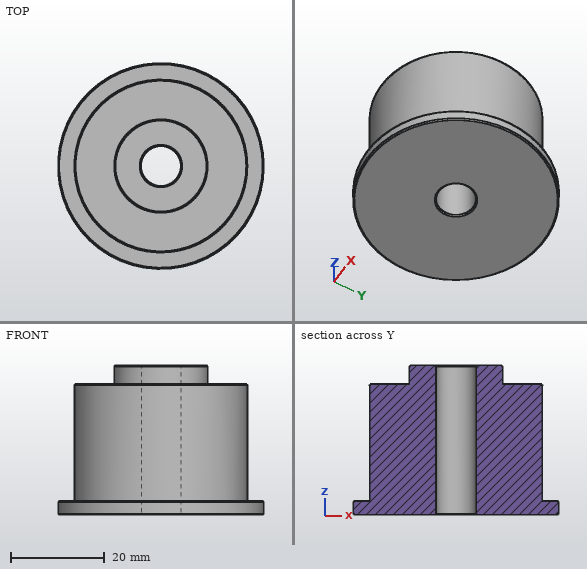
import cadquery as cq

flange_diameter = 44.0
total_height = 32.0

flange_height = 3.0
body_diameter = 37.0
boss_diameter = 20.0
boss_height = 4.0
bore_diameter = 8.5
edge_chamfer = 0.3

body_height = total_height - flange_height - boss_height


def chamfered_disc(diameter, base_z, height, edges):
    """Upright disc with its selected rims chamfered."""
    disc = cq.Workplane("XY").workplane(offset=base_z).circle(diameter / 2).extrude(height)
    return disc.edges(edges).chamfer(edge_chamfer)


flange = chamfered_disc(flange_diameter, 0, flange_height, "%CIRCLE")
body = chamfered_disc(body_diameter, flange_height, body_height, ">Z")
boss = chamfered_disc(boss_diameter, flange_height + body_height, boss_height, ">Z")

bore = cq.Workplane("XY").circle(bore_diameter / 2).extrude(total_height)
mouth_edges = cq.selectors.RadiusNthSelector(0)
result = flange.union(body).union(boss).cut(bore)
result = result.edges(mouth_edges).chamfer(edge_chamfer)